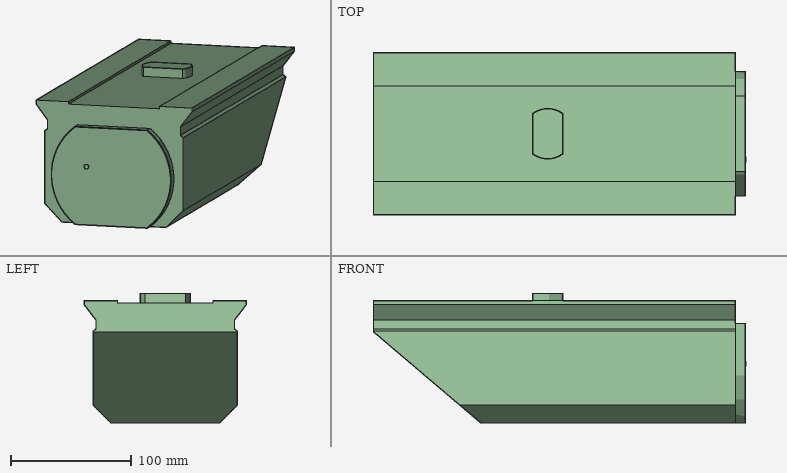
import cadquery as cq
import math

body_length = 301.0
body_width = 120.0
bottom_chamfer = 15.0
shoulder_z = 76.5

rail_width = 135.0
neck_width = 115.4
neck_bottom_z = 78.5
neck_top_z = 85.8
rail_lip_z = 98.6
rail_top_z = 102.0
recess_width = 79.0
recess_depth = 2.0

slope_top_z = 76.0
slope_run = 89.5

key_x = 145.0
key_diameter = 42.0
key_width = 25.0
key_top_z = 108.0
key_edge_chamfer = 0.3

cover_diameter = 104.0
cover_height = 83.0
cover_thickness = 8.5
cover_edge_chamfer = 0.5
cover_center_z = cover_height / 2

pin_diameter = 4.0
pin_length = 0.5
pin_y = -21.3
pin_z = 49.5


def make_body():
    """Extrude the full rail and body section along X."""
    recess_floor_z = rail_top_z - recess_depth
    half_section = [
        (body_width / 2 - bottom_chamfer, 0),
        (body_width / 2, bottom_chamfer),
        (body_width / 2, shoulder_z),
        (neck_width / 2, neck_bottom_z),
        (neck_width / 2, neck_top_z),
        (rail_width / 2, rail_lip_z),
        (rail_width / 2, rail_top_z),
        (recess_width / 2, rail_top_z),
        (recess_width / 2, recess_floor_z),
    ]
    mirrored_half = [(-y, z) for y, z in reversed(half_section)]
    return cq.Workplane("YZ").polyline(half_section + mirrored_half).close().extrude(body_length)


def make_slope_cutter():
    """Wedge that removes the lower corner at the -X end."""
    corners = [(0, 0), (slope_run, 0), (0, slope_top_z)]
    return cq.Workplane("XZ").polyline(corners).close().extrude(body_width / 2, both=True)


def make_flat_sided_disc(plane, diameter, across_flats, thickness):
    """Disc with two flats parallel to the local x axis, extruded along the plane normal."""
    flat = across_flats / 2
    half_chord = math.sqrt((diameter / 2) ** 2 - flat ** 2)
    return (
        cq.Workplane(plane)
        .moveTo(-half_chord, flat)
        .lineTo(half_chord, flat)
        .threePointArc((diameter / 2, 0), (half_chord, -flat))
        .lineTo(-half_chord, -flat)
        .threePointArc((-diameter / 2, 0), (-half_chord, flat))
        .close()
        .extrude(thickness)
    )


def make_key():
    """Key with flats facing -X and +X and round ends facing -Y and +Y."""
    floor_z = rail_top_z - recess_depth
    plane = cq.Plane(origin=(key_x, 0, floor_z), xDir=(0, 1, 0), normal=(0, 0, 1))
    key = make_flat_sided_disc(plane, key_diameter, key_width, key_top_z - floor_z)
    return key.faces(">Z").chamfer(key_edge_chamfer)


def make_cover():
    """Cover with flats at its top and bottom and round sides, flush with the body underside."""
    plane = cq.Plane(origin=(body_length, 0, cover_center_z), xDir=(0, 1, 0), normal=(1, 0, 0))
    cover = make_flat_sided_disc(plane, cover_diameter, cover_height, cover_thickness)
    return cover.faces(">X").chamfer(cover_edge_chamfer)


def make_pin():
    """Short round pin standing on the outer face of the cover."""
    face_x = body_length + cover_thickness
    plane = cq.Plane(origin=(face_x, pin_y, pin_z), xDir=(0, 1, 0), normal=(1, 0, 0))
    return cq.Workplane(plane).circle(pin_diameter / 2).extrude(pin_length)


body = make_body().cut(make_slope_cutter())
result = body.union(make_key()).union(make_cover()).union(make_pin())